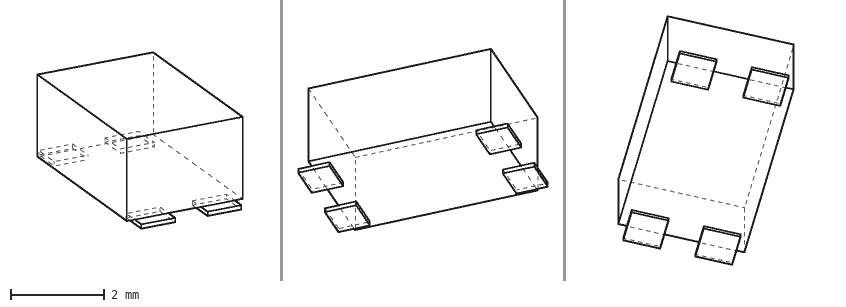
import cadquery as cq

span_x = 4.82
total_height = 2.0

lead_length = 0.725
lead_width = 0.82
lead_thickness = 0.1
lead_pitch_y = 1.6

housing_x = 4.205
housing_y = 2.8
housing_height = total_height - lead_thickness


def make_housing():
    """Plain block resting on top of the leads."""
    return cq.Workplane("XY", origin=(0, 0, lead_thickness)).box(
        housing_x, housing_y, housing_height, centered=(True, True, False)
    )


def make_lead(x_side, y_side):
    """Flat lead at one corner; each side argument is -1 or +1."""
    center_x = x_side * (span_x - lead_length) / 2
    center_y = y_side * lead_pitch_y / 2
    return cq.Workplane("XY", origin=(center_x, center_y, 0)).box(
        lead_length, lead_width, lead_thickness, centered=(True, True, False)
    )


housing = make_housing()

leads = []
for x_side in (-1, 1):
    for y_side in (-1, 1):
        leads.append(make_lead(x_side, y_side).val())

result = cq.Compound.makeCompound([housing.val(), *leads])